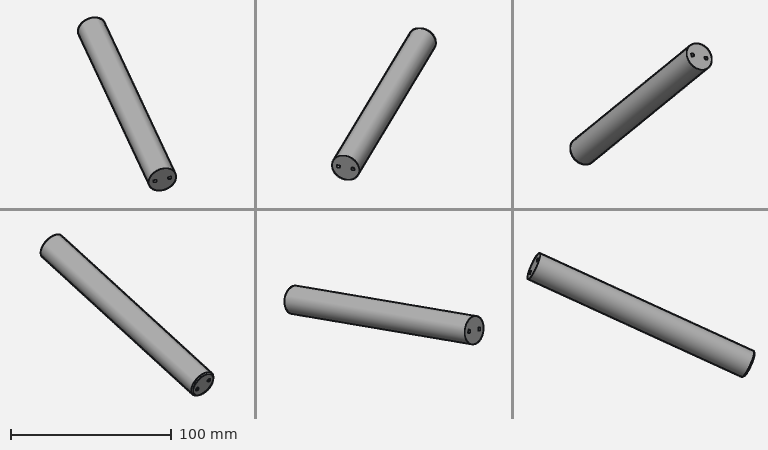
import cadquery as cq
import math

LENGTH = 150.0
DIAMETER = 18.0
CHAMFER = 0.9

CHANNEL_DIAMETER = 2.1
CHANNEL_RADIUS = 4.8
CHANNEL_COUNT = 2
START_ANGLE = -10.5
HELIX_ANGLE = 30.0

PITCH = math.pi * DIAMETER / math.tan(math.radians(HELIX_ANGLE))
TWIST = 360 * LENGTH / PITCH


def make_rod():
    """Round rod centred on the origin, chamfered at its -X end."""
    rod = cq.Workplane("YZ").circle(DIAMETER / 2).extrude(LENGTH / 2, both=True)
    return rod.faces("<X").chamfer(CHAMFER)


def make_channel(angle):
    """Twisted cutter for one channel that starts at the given angle on the -X end."""
    y = CHANNEL_RADIUS * math.cos(math.radians(angle))
    z = CHANNEL_RADIUS * math.sin(math.radians(angle))
    start_plane = cq.Workplane("YZ", origin=(-LENGTH / 2, 0, 0))
    return start_plane.moveTo(y, z).circle(CHANNEL_DIAMETER / 2).twistExtrude(LENGTH, TWIST)


result = make_rod()
for index in range(CHANNEL_COUNT):
    result = result.cut(make_channel(START_ANGLE + index * 360 / CHANNEL_COUNT))